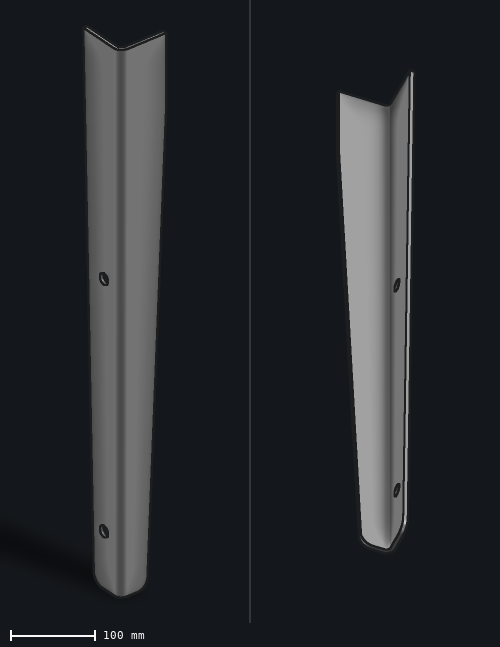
import cadquery as cq

length = 760.0
flange_width = 70.0
thickness = 6.0
outer_bend_radius = 11.5
inner_bend_radius = outer_bend_radius - thickness

front_foot_width = 49.5
side_foot_width = 41.0
side_straight_length = 100.0
corner_radius = 15.0

hole_diameter = 15.0
hole_from_heel = 30.5
hole_heights = (80.0, 430.0)


def angle_bar():
    """L-shaped bar with its heel at X = 0, Y = 0 and a rounded bend."""
    bar = (
        cq.Workplane("XY")
        .polyline([
            (0, 0),
            (-flange_width, 0),
            (-flange_width, thickness),
            (-thickness, thickness),
            (-thickness, flange_width),
            (0, flange_width),
        ])
        .close()
        .extrude(length)
    )
    bar = bar.edges(cq.selectors.NearestToPointSelector((0, 0, length / 2))).fillet(outer_bend_radius)
    inner_corner = (-thickness, thickness, length / 2)
    return bar.edges(cq.selectors.NearestToPointSelector(inner_corner)).fillet(inner_bend_radius)


def flange_outline(plane, outline):
    """Slab with the outline of one flange; its second point is the rounded foot corner."""
    slab = cq.Workplane(plane).polyline(outline).close().extrude(flange_width, both=True)
    foot_corner = cq.Plane.named(plane).toWorldCoords(outline[1])
    return slab.edges(cq.selectors.NearestToPointSelector(foot_corner.toTuple())).fillet(corner_radius)


front_outline = flange_outline("XZ", [
    (0, 0),
    (-front_foot_width, 0),
    (-flange_width, length),
    (0, length),
])

side_outline = flange_outline("YZ", [
    (0, 0),
    (side_foot_width, 0),
    (flange_width, length - side_straight_length),
    (flange_width, length),
    (0, length),
])

holes = (
    cq.Workplane("XZ")
    .pushPoints([(-hole_from_heel, height) for height in hole_heights])
    .circle(hole_diameter / 2)
    .extrude(-thickness)
)

result = angle_bar().intersect(front_outline).intersect(side_outline).cut(holes)